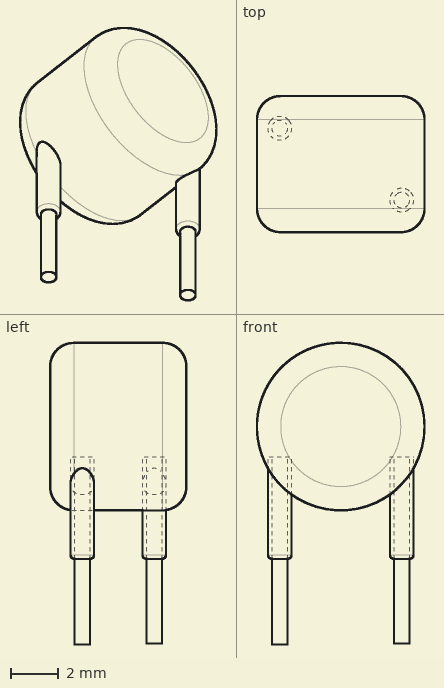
import cadquery as cq

housing_diameter = 7.0
housing_length = 5.7
housing_edge_radius = 1.0

wire_offset_x = 2.55
wire_offset_y = 1.5
wire_top_z = -1.26

sleeve_diameter = 1.0
sleeve_bottom_z = -5.52
sleeve_edge_radius = 0.16

lead_diameter = 0.65
overall_height = 12.6
rear_lead_bottom_z = housing_diameter / 2 - overall_height
front_lead_shortfall = 0.04
front_lead_bottom_z = rear_lead_bottom_z + front_lead_shortfall

wires = [
    (-wire_offset_x, wire_offset_y, rear_lead_bottom_z),
    (wire_offset_x, -wire_offset_y, front_lead_bottom_z),
]


def make_rod(x, y, bottom_z, diameter):
    """Vertical cylinder from bottom_z up to the top of the wires."""
    return (
        cq.Workplane("XY", origin=(x, y, bottom_z))
        .circle(diameter / 2)
        .extrude(wire_top_z - bottom_z)
    )


def make_lead(x, y, bottom_z):
    """Bare metal lead running up through its sleeve."""
    return make_rod(x, y, bottom_z, lead_diameter)


def make_sleeve(x, y):
    """Insulating tube with a rounded lower rim and a bore for the lead."""
    blank = make_rod(x, y, sleeve_bottom_z, sleeve_diameter)
    rounded = blank.faces("<Z").edges().fillet(sleeve_edge_radius)
    return rounded.cut(make_rod(x, y, sleeve_bottom_z, lead_diameter))


def make_housing():
    """Cylinder with rounded ends and a blind socket for each sleeve."""
    body = (
        cq.Workplane("XZ", origin=(0, housing_length / 2, 0))
        .circle(housing_diameter / 2)
        .extrude(housing_length)
        .faces("<Y or >Y")
        .edges()
        .fillet(housing_edge_radius)
    )
    for x, y, _ in wires:
        body = body.cut(make_rod(x, y, sleeve_bottom_z, sleeve_diameter))
    return body


housing = make_housing()
sleeves = [make_sleeve(x, y) for x, y, _ in wires]
leads = [make_lead(x, y, bottom_z) for x, y, bottom_z in wires]

bodies = [housing, *sleeves, *leads]
result = cq.Compound.makeCompound([body.val() for body in bodies])